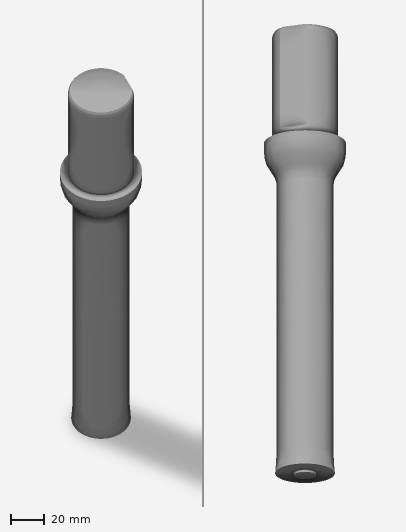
import cadquery as cq

total_length = 282.0
tip_height = 1.5
head_top = 11.8
joint_height = 97.3
neck_bottom = 179.5
flare_bottom = 185.0
flange_bottom = 207.0
flange_top = 212.0
shank_bottom = 213.8

tip_radius = 13.5 / 2
head_radius = 36.0 / 2
body_radius = 34.7 / 2
neck_radius = 34.5 / 2
flange_radius = 49.5 / 2
shank_radius = 40.0 / 2
relief_radius = 39.5 / 2

top_chamfer_width = 0.8
top_chamfer_height = 1.5
lead_in_height = 3.5
flat_distance = 17.8
flat_runout_height = 216.0

bend_radius = 22.5
bend_height = 197.5


def make_cutting_part():
    """Lower body: a small centre tip, a head that widens downward and a plain cylinder."""
    profile = (
        cq.Workplane("XZ")
        .lineTo(tip_radius, 0)
        .lineTo(tip_radius, tip_height)
        .lineTo(head_radius, tip_height)
        .lineTo(body_radius, head_top)
        .lineTo(body_radius, joint_height)
        .lineTo(0, joint_height)
        .close()
    )
    return profile.revolve(360, (0, 0, 0), (0, 1, 0))


def make_turned_holder():
    """Upper body before milling: slightly tapered neck, S-shaped flare, flange and shank."""
    profile = (
        cq.Workplane("XZ")
        .moveTo(0, joint_height)
        .lineTo(body_radius, joint_height)
        .lineTo(neck_radius, neck_bottom)
        .lineTo(neck_radius, flare_bottom)
        .spline(
            [(bend_radius, bend_height), (flange_radius, flange_bottom)],
            tangents=[(0, 1), (0, 1)],
            includeCurrent=True,
        )
        .lineTo(flange_radius, flange_top)
        .lineTo(relief_radius, flange_top)
        .lineTo(shank_radius, shank_bottom)
        .lineTo(shank_radius, total_length - lead_in_height)
        .lineTo(relief_radius, total_length - top_chamfer_height)
        .lineTo(relief_radius - top_chamfer_width, total_length)
        .lineTo(0, total_length)
        .close()
    )
    return profile.revolve(360, (0, 0, 0), (0, 1, 0))


def make_flat_cutter():
    """Prism that mills the +Y flat, with a 45 degree run-out at its lower end."""
    runout_rise = shank_radius - flat_distance
    return (
        cq.Workplane("YZ")
        .moveTo(shank_radius, flat_runout_height)
        .lineTo(flat_distance, flat_runout_height + runout_rise)
        .lineTo(flat_distance, total_length)
        .lineTo(shank_radius, total_length)
        .close()
        .extrude(shank_radius, both=True)
    )


cutting_part = make_cutting_part()
holder = make_turned_holder().cut(make_flat_cutter())

result = cq.Compound.makeCompound([cutting_part.val(), holder.val()])